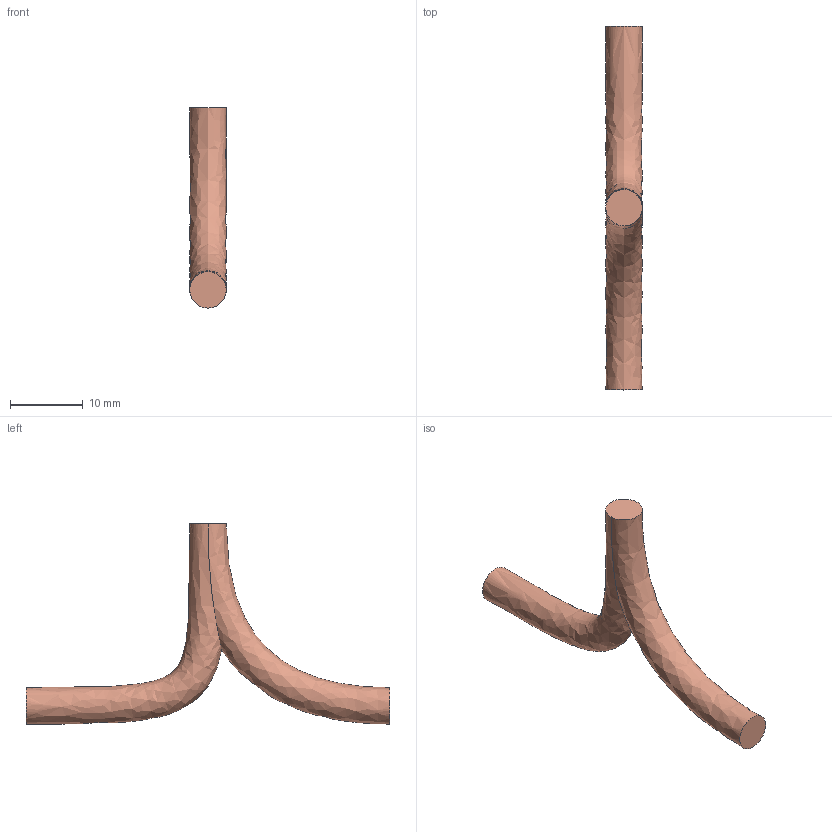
import cadquery as cq

rod_diameter = 5.0
reach = 25.0

top_end = (0.0, reach)
front_end = (-reach, 0.0)
back_end = (reach, 0.0)

front_controls = [(0.0, 0.0)]
back_controls = [(0.0, 0.1), (-0.8, 0.0)]


def curved_rod(controls, foot_end):
    """Sweep a round section down a Bezier centreline that starts vertically at the top end.

    The seam of the rod faces the foot, on the inside of the bend. This keeps the seam
    of each leg clear of the other leg, so that the two legs fuse cleanly.
    """
    seam_direction = (0, foot_end[0], 0)
    section_plane = cq.Plane(origin=(0, 0, reach), xDir=seam_direction, normal=(0, 0, 1))
    section = cq.Workplane(section_plane).circle(rod_diameter / 2)
    centreline = cq.Workplane("YZ").bezier([top_end, *controls, foot_end])
    return section.sweep(centreline)


front_leg = curved_rod(front_controls, front_end)
back_leg = curved_rod(back_controls, back_end)

result = front_leg.union(back_leg)